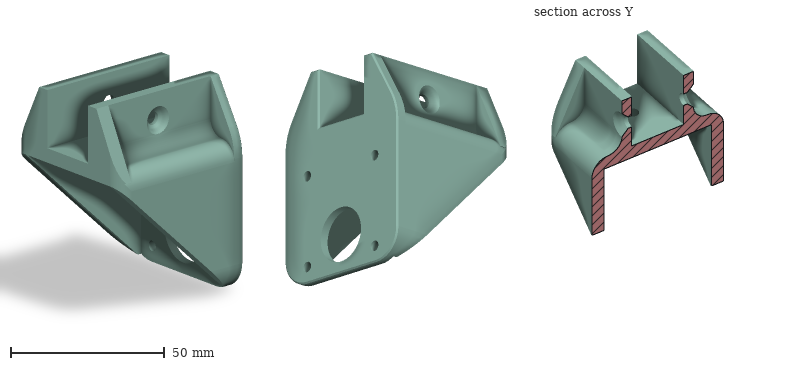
import cadquery as cq
import math

width = 52.0
depth = 53.0
height = 72.0
half_width = width / 2

channel_width = 20.3
channel_depth = 20.0
floor_z = height - channel_depth
wall_half = 14.2
wall_thickness = wall_half - channel_width / 2
wall_root_radius = 5.3
shoulder_radius = half_width - wall_half - wall_root_radius

floor_thickness = 5.0
roof_z = floor_z - floor_thickness
gusset_thickness = 5.0
plate_thickness = 3.2
rear_flange_thickness = 3.9
bottom_radius = 10.0
flange_angle = 30.5
flange_radius = 20.0
rib_depth = 5.1
rib_foot_half = 25.6
rib_foot_z = 48.4
front_corner_radius = 5.0
roof_fillet = 2.5
rear_chamfer = 0.5

screw_diameter = 4.5
countersink_diameter = 9.5
countersink_angle = 90.0
wall_hole_y = depth / 2
wall_hole_z = height - channel_depth / 2
floor_holes_y = (12.0, 35.5)
mount_diameter = 3.5
mount_spacing = 31.0
mount_bottom_z = 5.5
bore_diameter = 18.6
bore_z = 13.0


def extrude_along_y(profile, start, end):
    """Extrude an XZ profile from Y = start to Y = end."""
    return profile.extrude(start - end).translate((0, start, 0))


def box_between(low, high):
    size = [b - a for a, b in zip(low, high)]
    return cq.Workplane("XY").box(*size, centered=False).translate(low)


def body_profile():
    """Block with rounded shoulders, carrying the full-height channel walls."""
    diagonal = math.sqrt(0.5)
    root_z = floor_z + wall_root_radius
    shoulder_x = wall_half + wall_root_radius
    shoulder_z = floor_z - shoulder_radius
    root_middle = (shoulder_x - wall_root_radius * diagonal, root_z - wall_root_radius * diagonal)
    shoulder_middle = (shoulder_x + shoulder_radius * diagonal, shoulder_z + shoulder_radius * diagonal)
    return (
        cq.Workplane("XZ")
        .moveTo(0, 0)
        .lineTo(half_width, 0)
        .lineTo(half_width, shoulder_z)
        .threePointArc(shoulder_middle, (shoulder_x, floor_z))
        .threePointArc(root_middle, (wall_half, root_z))
        .lineTo(wall_half, height)
        .lineTo(0, height)
        .close()
    )


def make_body():
    half = extrude_along_y(body_profile(), 0, depth)
    body = half.union(half.mirror("YZ"))
    return body.edges("|Y and <Z").fillet(bottom_radius)


def make_rear_flange():
    """Plate with sides curving from vertical into the leaning upper edges."""
    corner_z = height - (half_width - wall_half) / math.tan(math.radians(flange_angle))
    profile = (
        cq.Workplane("XZ")
        .moveTo(-half_width, 0)
        .lineTo(half_width, 0)
        .lineTo(half_width, corner_z)
        .lineTo(wall_half, height)
        .lineTo(-wall_half, height)
        .lineTo(-half_width, corner_z)
        .close()
    )
    flange = extrude_along_y(profile, depth - rear_flange_thickness, depth)
    flange = flange.edges("|Y and <Z").fillet(bottom_radius)
    side_corners = flange.edges("|Y and (>X or <X)").edges(">Z")
    return side_corners.fillet(flange_radius)


def make_front_ribs():
    """Straight-sided ribs that brace the walls at the front."""
    profile = cq.Workplane("XZ").polyline([
        (-rib_foot_half, rib_foot_z),
        (rib_foot_half, rib_foot_z),
        (wall_half, height),
        (-wall_half, height),
    ]).close()
    return extrude_along_y(profile, 0, rib_depth)


def rounded_envelope():
    """Block of the overall size with the two upright front corners rounded."""
    envelope = box_between((-half_width, 0, 0), (half_width, depth, height))
    return envelope.edges("|Z and <Y").fillet(front_corner_radius)


def underside_cut():
    """Wedge below the slope from the front edge to the foot of the plate."""
    return (
        cq.Workplane("YZ")
        .polyline([(0, 0), (depth - plate_thickness, 0), (0, roof_z)])
        .close()
        .extrude(half_width, both=True)
    )


def gusset_cavity():
    """Space between the gussets, blended where its roof meets the plate."""
    inner_half = half_width - gusset_thickness
    cavity = box_between((-inner_half, 0, 0), (inner_half, depth - plate_thickness, roof_z))
    return cavity.edges("|X and >Y and >Z").fillet(roof_fillet)


def channel_cut():
    return box_between((-channel_width / 2, 0, floor_z), (channel_width / 2, depth, height))


def cut_floor_holes(part):
    holes = (
        cq.Workplane("XY", origin=(0, 0, roof_z))
        .pushPoints([(0, y) for y in floor_holes_y])
        .circle(screw_diameter / 2)
        .extrude(floor_thickness)
    )
    return part.cut(holes)


def cut_wall_holes(part):
    """Screw holes through both walls, countersunk from the outside."""
    radius = screw_diameter / 2
    sink_radius = countersink_diameter / 2
    sink_depth = (sink_radius - radius) / math.tan(math.radians(countersink_angle / 2))
    cutter = (
        cq.Workplane("XY")
        .polyline([
            (wall_half - wall_thickness, 0),
            (wall_half - wall_thickness, radius),
            (wall_half - sink_depth, radius),
            (wall_half, sink_radius),
            (wall_half, 0),
        ])
        .close()
        .revolve(360, (0, 0, 0), (1, 0, 0))
        .translate((0, wall_hole_y, wall_hole_z))
    )
    return part.cut(cutter).cut(cutter.mirror("YZ"))


def cut_plate_holes(part):
    mount_points = [
        (side * mount_spacing / 2, z)
        for side in (-1, 1)
        for z in (mount_bottom_z, mount_bottom_z + mount_spacing)
    ]
    mounts = cq.Workplane("XZ").pushPoints(mount_points).circle(mount_diameter / 2)
    bore = cq.Workplane("XZ").center(0, bore_z).circle(bore_diameter / 2)
    plate_front = depth - plate_thickness
    part = part.cut(extrude_along_y(mounts, plate_front, depth))
    return part.cut(extrude_along_y(bore, plate_front, depth))


def chamfer_rear_outline(part):
    """Bevel the whole rear outline, including the end of the channel."""
    outline = part.faces(">Y").val().outerWire().Edges()
    return part.newObject(outline).chamfer(rear_chamfer)


body = make_body().union(make_front_ribs()).union(make_rear_flange())
body = body.intersect(rounded_envelope())
body = body.cut(underside_cut()).cut(gusset_cavity()).cut(channel_cut())
body = chamfer_rear_outline(body)
body = cut_floor_holes(body)
body = cut_wall_holes(body)
result = cut_plate_holes(body)